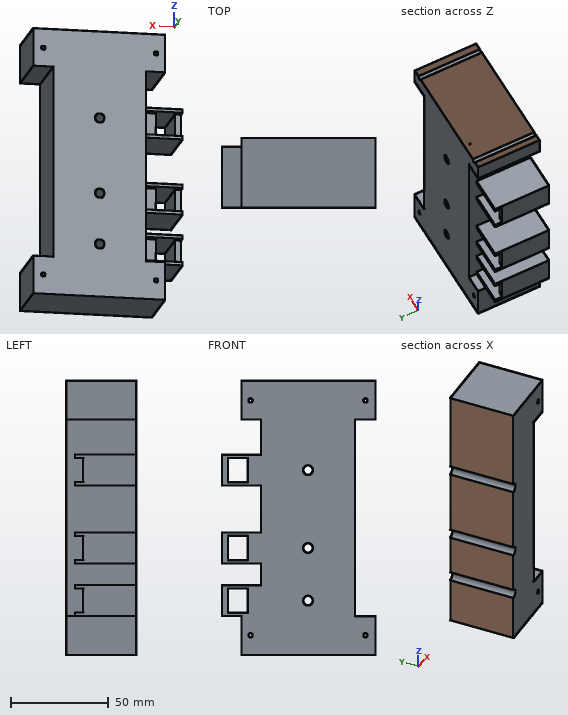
import cadquery as cq

BODY_WIDTH = 48.5
BODY_DEPTH = 36.0
BODY_HEIGHT = 141.0

EAR_LEFT_WIDTH = 10.0
EAR_RIGHT_WIDTH = 10.5
EAR_HEIGHT = 20.0
EAR_HOLE_DIAMETER = 2.0
EAR_HOLE_SPACING = 59.0
EAR_HOLE_END_DISTANCE = 10.2

SOCKET_REACH = 20.0
SOCKET_HEIGHT = 16.0
SOCKET_DEPTH = 31.5
SOCKET_SIDE_WALL = 3.2
SOCKET_LIP_THICKNESS = 1.8
SOCKET_LIP_LENGTH = 4.2
WINDOW_WIDTH = 10.0
SOCKET_BOTTOMS = (EAR_HEIGHT, 47.0, 87.0)

BODY_HOLE_DIAMETER = 4.8

BODY_CENTER_X = BODY_WIDTH / 2


def box_from_corner(x, y, z, width, depth, height):
    """Box whose left, front, bottom corner is at (x, y, z)."""
    return cq.Workplane("XY").box(width, depth, height, centered=False).translate((x, y, z))


def through_hole(x, z, diameter):
    """Cylinder along Y spanning the full body depth."""
    cylinder = cq.Workplane("XZ").circle(diameter / 2).extrude(-BODY_DEPTH)
    return cylinder.translate((x, 0, z))


def ear_row(bottom):
    """Bar across the body whose two ends form a pair of ears."""
    row_width = EAR_LEFT_WIDTH + BODY_WIDTH + EAR_RIGHT_WIDTH
    return box_from_corner(-EAR_LEFT_WIDTH, 0, bottom, row_width, BODY_DEPTH, EAR_HEIGHT)


def socket(bottom):
    """Socket with a window along Y and two lips left above and below a notch at the back."""
    window_height = SOCKET_HEIGHT - 2 * SOCKET_LIP_THICKNESS
    window_bottom = bottom + SOCKET_LIP_THICKNESS
    window_left = SOCKET_SIDE_WALL - SOCKET_REACH
    notch_front = SOCKET_DEPTH - SOCKET_LIP_LENGTH

    block = box_from_corner(-SOCKET_REACH, 0, bottom, SOCKET_REACH, SOCKET_DEPTH, SOCKET_HEIGHT)
    window = box_from_corner(window_left, 0, window_bottom, WINDOW_WIDTH, SOCKET_DEPTH, window_height)
    notch = box_from_corner(
        -SOCKET_REACH, notch_front, window_bottom, SOCKET_REACH, SOCKET_LIP_LENGTH, window_height
    )
    return block.cut(window).cut(notch)


result = box_from_corner(0, 0, 0, BODY_WIDTH, BODY_DEPTH, BODY_HEIGHT)

for ear_bottom in (0, BODY_HEIGHT - EAR_HEIGHT):
    result = result.union(ear_row(ear_bottom))

for socket_bottom in SOCKET_BOTTOMS:
    result = result.union(socket(socket_bottom))

for socket_bottom in SOCKET_BOTTOMS:
    hole_height = socket_bottom + SOCKET_HEIGHT / 2
    result = result.cut(through_hole(BODY_CENTER_X, hole_height, BODY_HOLE_DIAMETER))

for ear_hole_x in (BODY_CENTER_X - EAR_HOLE_SPACING / 2, BODY_CENTER_X + EAR_HOLE_SPACING / 2):
    for ear_hole_z in (EAR_HOLE_END_DISTANCE, BODY_HEIGHT - EAR_HOLE_END_DISTANCE):
        result = result.cut(through_hole(ear_hole_x, ear_hole_z, EAR_HOLE_DIAMETER))